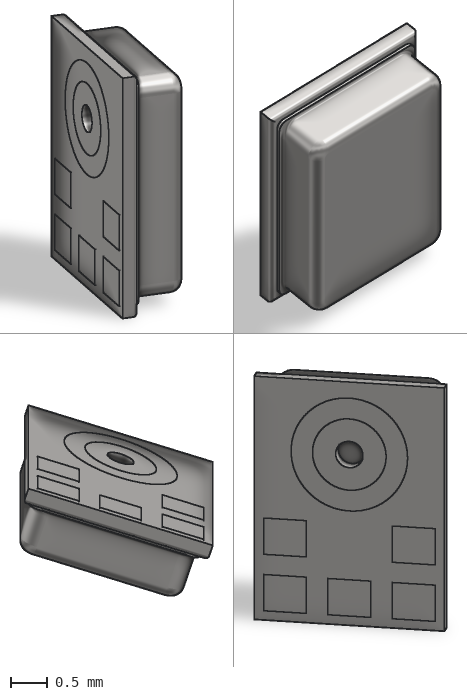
import cadquery as cq

BOARD_WIDTH = 2.65
BOARD_HEIGHT = 3.5
BOARD_THICKNESS = 0.23
BOARD_EDGE_RADIUS = 0.075
OVERALL_DEPTH = 0.98

FLANGE_MARGIN = 0.1
FLANGE_THICKNESS = 0.05
FLANGE_CORNER_RADIUS = 0.125
CAN_MARGIN = 0.155
CAN_CORNER_RADIUS = 0.23
CAN_TOP_RADIUS = 0.16
CAN_FOOT_RADIUS = 0.05
SELECT_GAP = 0.0018

CONTACT_THICKNESS = 0.035
PAD_WIDTH = 0.595
PAD_HEIGHT = 0.52
PAD_PITCH_X = 0.895
PAD_PITCH_Z = 0.812
LOWER_PAD_Z = 0.395 - BOARD_HEIGHT / 2
UPPER_PAD_Z = LOWER_PAD_Z + PAD_PITCH_Z
PAD_CENTRES = [
    (-PAD_PITCH_X, LOWER_PAD_Z),
    (0, LOWER_PAD_Z),
    (PAD_PITCH_X, LOWER_PAD_Z),
    (-PAD_PITCH_X, UPPER_PAD_Z),
    (PAD_PITCH_X, UPPER_PAD_Z),
]

PORT_Z = BOARD_HEIGHT / 2 - 1.043
PORT_DIAMETER = 0.378
PORT_DEPTH = 0.185
RING_OUTER_DIAMETER = 1.625
RING_INNER_DIAMETER = 1.025


def plane_at(y, x=0, z=0):
    """Sketch plane facing +Y with local x along +X and local y along -Z."""
    return cq.Workplane(cq.Plane(origin=(x, y, z), xDir=(1, 0, 0), normal=(0, 1, 0)))


def block_on_board(margin, depth, corner_radius):
    """Block on the board's inner face, inset by margin, with rounded corners."""
    return (
        plane_at(BOARD_THICKNESS)
        .rect(BOARD_WIDTH - 2 * margin, BOARD_HEIGHT - 2 * margin)
        .extrude(depth)
        .edges("|Y")
        .fillet(corner_radius)
    )


def make_pad(x, z):
    return plane_at(0, x, z).rect(PAD_WIDTH, PAD_HEIGHT).extrude(CONTACT_THICKNESS)


def make_ring():
    return (
        plane_at(0, z=PORT_Z)
        .circle(RING_OUTER_DIAMETER / 2)
        .circle(RING_INNER_DIAMETER / 2)
        .extrude(CONTACT_THICKNESS)
    )


def make_can():
    flange = block_on_board(FLANGE_MARGIN, FLANGE_THICKNESS, FLANGE_CORNER_RADIUS)
    shell = block_on_board(CAN_MARGIN, OVERALL_DEPTH - BOARD_THICKNESS, CAN_CORNER_RADIUS)
    can = shell.faces(">Y").edges().fillet(CAN_TOP_RADIUS).union(flange)

    flange_top = BOARD_THICKNESS + FLANGE_THICKNESS
    wall_x = BOARD_WIDTH / 2 - CAN_MARGIN
    wall_z = BOARD_HEIGHT / 2 - CAN_MARGIN
    foot_edges = can.edges(
        cq.selectors.BoxSelector(
            (-wall_x - SELECT_GAP, flange_top - SELECT_GAP, -wall_z - SELECT_GAP),
            (wall_x + SELECT_GAP, flange_top + SELECT_GAP, wall_z + SELECT_GAP),
            boundingbox=True,
        )
    )
    return foot_edges.fillet(CAN_FOOT_RADIUS)


def make_board(contacts):
    board = (
        plane_at(0)
        .rect(BOARD_WIDTH, BOARD_HEIGHT)
        .extrude(BOARD_THICKNESS)
        .faces(">Y")
        .edges()
        .fillet(BOARD_EDGE_RADIUS)
    )
    port = plane_at(0, z=PORT_Z).circle(PORT_DIAMETER / 2).extrude(PORT_DEPTH)
    board = board.cut(port)
    for contact in contacts:
        board = board.cut(contact)
    return board


pads = [make_pad(x, z) for x, z in PAD_CENTRES]
ring = make_ring()
can = make_can()
board = make_board([ring, *pads])

result = cq.Compound.makeCompound(
    [board.solids().val(), can.solids().val(), ring.val(), *[pad.val() for pad in pads]]
)